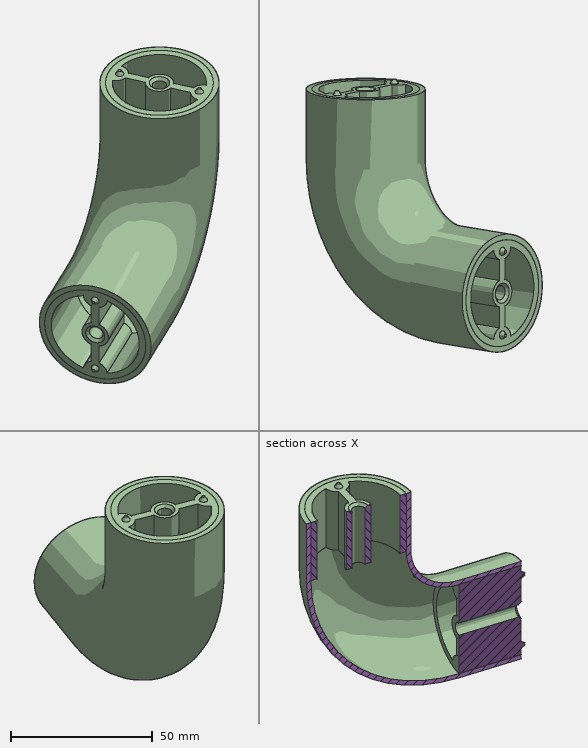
import cadquery as cq

tube_outer_radius = 21.0
tube_inner_radius = 19.0
bend_radius = 40.0
leg_length = 25.0

insert_length = leg_length
ring_inner_radius = 16.5
hub_outer_radius = 5.0
hub_bore_radius = 2.5
countersink_radius = 3.6
countersink_depth = countersink_radius - hub_bore_radius
rib_thickness = 3.0
boss_radius = 4.55
pin_offset = 15.0
pin_base_radius = 1.5
pin_tip_radius = 0.5
pin_height = 1.5

end_distance = bend_radius + leg_length


def swept_rod(radius):
    """Solid round rod that follows the centre line of the elbow."""
    centre_line = (
        cq.Workplane("YZ")
        .moveTo(0, end_distance)
        .lineTo(0, bend_radius)
        .radiusArc((-bend_radius, 0), bend_radius)
        .lineTo(-end_distance, 0)
    )
    return cq.Workplane("XY", origin=(0, 0, end_distance)).circle(radius).sweep(centre_line)


def make_elbow():
    """Hollow elbow of constant wall thickness, open at both ends."""
    return swept_rod(tube_outer_radius).cut(swept_rod(tube_inner_radius))


def make_insert(end_plane):
    """Insert whose face lies on end_plane; the ribs run along the plane's x direction."""

    def cylinder(radius, x=0.0):
        return cq.Workplane(end_plane).center(x, 0).circle(radius).extrude(-insert_length)

    web = cq.Workplane(end_plane).rect(2 * ring_inner_radius, rib_thickness).extrude(-insert_length)
    web = web.union(cylinder(hub_outer_radius))
    for side in (-1, 1):
        web = web.union(cylinder(boss_radius, side * ring_inner_radius))
    web = web.intersect(cylinder(tube_inner_radius))

    ring = cylinder(tube_inner_radius).cut(cylinder(ring_inner_radius))
    insert = ring.union(web)

    countersink = cq.Solid.makeCone(
        countersink_radius, hub_bore_radius, countersink_depth, end_plane.origin, -end_plane.zDir
    )
    insert = insert.cut(cylinder(hub_bore_radius)).cut(cq.Workplane(countersink))

    for side in (-1, 1):
        pin_foot = end_plane.toWorldCoords((side * pin_offset, 0, 0))
        pin = cq.Solid.makeCone(pin_base_radius, pin_tip_radius, pin_height, pin_foot, end_plane.zDir)
        insert = insert.union(cq.Workplane(pin))
    return insert


upper_end = cq.Plane(origin=(0, 0, end_distance), xDir=(1, 0, 0), normal=(0, 0, 1))
front_end = cq.Plane(origin=(0, -end_distance, 0), xDir=(0, 0, 1), normal=(0, -1, 0))

elbow = make_elbow()
inserts = [make_insert(end_plane) for end_plane in (upper_end, front_end)]

result = cq.Compound.makeCompound([elbow.val(), *[insert.val() for insert in inserts]])